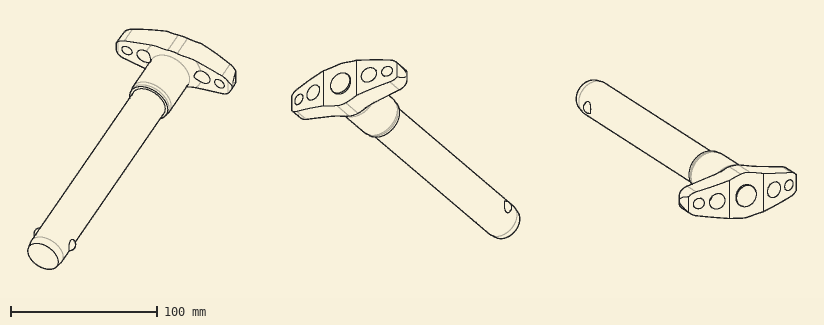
import cadquery as cq
import math


total_length = 216.8
handle_width = 88.7
handle_height = 33.21

hub_radius = handle_height / 2
end_radius = 9.0
end_center_x = handle_width / 2 - end_radius
half_width = handle_width / 2

rim_x = 13.2
dish_depth = 1.7
crown_radius = 150.0
end_top_x = 42.3
end_draft = math.radians(12.5)
end_corner_drop = 2.2
end_corner_x = 42.0
underside_y = -17.0
underside_mid_y = -15.6

blank_half_height = 2 * hub_radius

root_y = underside_mid_y / 2

button_radius = 7.75

large_hole_diameter = 11.2
large_hole_x = 22.3
small_hole_diameter = 7.6

collar_radius = 15.2
collar_fillet = 6.0
collar_taper_y = -50.2
collar_lip_y = -52.4
collar_lip_radius = 14.6
collar_end_y = -54.3

shank_radius = 12.7
tip_radius = 11.7
tip_taper_length = 5.6

ball_radius = 4.3
ball_reach = 15.5
ball_y = -198.6


def crown_y(x):
    """Height of the crowned back at x; the crown passes through the rim at Y = 0."""
    rim_height = math.sqrt(crown_radius**2 - rim_x**2)
    return math.sqrt(crown_radius**2 - x**2) - rim_height


def handle_outline():
    """Prism along Y from the back of the handle to the end of the full-size collar."""
    normal_x = (hub_radius - end_radius) / end_center_x
    normal_z = math.sqrt(1 - normal_x**2)
    hub_x = hub_radius * normal_x
    hub_z = hub_radius * normal_z
    end_x = end_center_x + end_radius * normal_x
    end_z = end_radius * normal_z
    return (
        cq.Workplane("XZ")
        .moveTo(-hub_x, hub_z)
        .threePointArc((0, hub_radius), (hub_x, hub_z))
        .lineTo(end_x, end_z)
        .threePointArc((half_width, 0), (end_x, -end_z))
        .lineTo(hub_x, -hub_z)
        .threePointArc((0, -hub_radius), (-hub_x, -hub_z))
        .lineTo(-end_x, -end_z)
        .threePointArc((-half_width, 0), (-end_x, end_z))
        .close()
        .extrude(-collar_taper_y)
    )


def handle_profile():
    """Side profile of the handle: thumb dish, crowned arms, drafted ends, sloping underside."""
    crown_mid_x = (rim_x + end_top_x) / 2
    end_top_y = crown_y(end_top_x)
    corner_top_y = underside_y + end_corner_drop
    corner_top_x = end_top_x + (end_top_y - corner_top_y) * math.tan(end_draft)
    corner_swing = math.sqrt(0.5)
    corner_mid_x = end_corner_x + (corner_top_x - end_corner_x) * corner_swing
    corner_mid_y = corner_top_y - end_corner_drop * corner_swing
    return (
        cq.Workplane("XY")
        .moveTo(-rim_x, 0)
        .threePointArc((0, -dish_depth), (rim_x, 0))
        .threePointArc((crown_mid_x, crown_y(crown_mid_x)), (end_top_x, end_top_y))
        .lineTo(corner_top_x, corner_top_y)
        .threePointArc((corner_mid_x, corner_mid_y), (end_corner_x, underside_y))
        .threePointArc((0, underside_mid_y), (-end_corner_x, underside_y))
        .threePointArc((-corner_mid_x, corner_mid_y), (-corner_top_x, corner_top_y))
        .lineTo(-end_top_x, end_top_y)
        .threePointArc((-crown_mid_x, crown_y(crown_mid_x)), (-rim_x, 0))
        .close()
        .extrude(blank_half_height, both=True)
    )


def locking_ball(side):
    """Ball standing out of the shank on the +X (side 1) or -X (side -1) side."""
    ball_x = ball_reach - ball_radius
    return cq.Workplane("XY").sphere(ball_radius).translate((side * ball_x, ball_y, 0))


def handle_with_collar():
    """Handle flared into the collar, trimmed to its outline and drilled."""
    collar = (
        cq.Workplane("XZ", origin=(0, root_y, 0))
        .circle(collar_radius)
        .extrude(root_y - collar_taper_y)
    )
    body = handle_profile().union(collar)
    underside_band = cq.selectors.BoxSelector(
        (-hub_radius, underside_y, -hub_radius),
        (hub_radius, root_y, hub_radius),
    )
    body = body.edges(underside_band).fillet(collar_fillet)
    return body.intersect(handle_outline()).cut(handle_holes())


def pin():
    """Collar and shank, turned about the Y axis from inside the handle to the tip."""
    return (
        cq.Workplane("XY")
        .moveTo(0, underside_mid_y)
        .lineTo(collar_radius, underside_mid_y)
        .lineTo(collar_radius, collar_taper_y)
        .lineTo(collar_lip_radius, collar_lip_y)
        .lineTo(collar_lip_radius, collar_end_y)
        .lineTo(shank_radius, collar_end_y)
        .lineTo(shank_radius, tip_taper_length - total_length)
        .lineTo(tip_radius, -total_length)
        .lineTo(0, -total_length)
        .close()
        .revolve(360, (0, 0, 0), (0, 1, 0))
    )


def button():
    """Release button standing in the thumb dish, level with the rim."""
    return cq.Workplane("XZ").circle(button_radius).extrude(-root_y)


def handle_holes():
    """Large and small through holes in both arms."""
    hole_depth = -collar_taper_y
    large_centers = [(-large_hole_x, 0), (large_hole_x, 0)]
    small_centers = [(-end_center_x, 0), (end_center_x, 0)]
    large_circles = cq.Workplane("XZ").pushPoints(large_centers).circle(large_hole_diameter / 2)
    small_circles = cq.Workplane("XZ").pushPoints(small_centers).circle(small_hole_diameter / 2)
    return large_circles.extrude(hole_depth).union(small_circles.extrude(hole_depth))


result = handle_with_collar().union(button()).union(pin())
for side in (-1, 1):
    result = result.union(locking_ball(side))